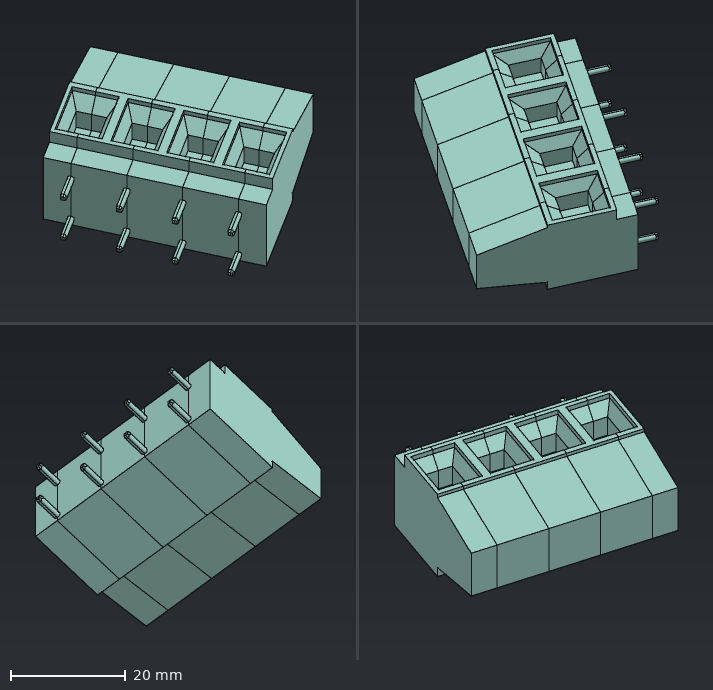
import cadquery as cq

pole_count = 4
pitch = 10.15
block_width = pole_count * pitch
pole_centers = [(pole + 0.5) * pitch for pole in range(pole_count)]

block_depth = 29.3
block_height = 18.3
ledge_depth = 3.9
ledge_height = 15.6
shoulder_y = 16.4
shoulder_top_z = 17.6
shoulder_bottom_z = 2.05
back_top_z = 14.2
back_bottom_z = 4.65

mouth_width = 8.55
mouth_front_y = 4.8
mouth_back_y = 15.35
mouth_depth = 0.98
well_width = 5.55
well_front_y = 6.85
well_back_y = 12.8
taper_depth = 2.25
well_depth = 4.05

pin_length = 5.0
pin_width = 1.18
pin_corner_radius = 0.4
tip_length = 0.53
tip_inset = 0.2
lower_pin_z = 1.6
pin_spacing = pitch
pins_per_pole = 2


def make_block():
    """Plain block without funnels: the side profile drawn across the full width."""
    profile = [
        (0, 0),
        (shoulder_y, 0),
        (shoulder_y, shoulder_bottom_z),
        (block_depth, back_bottom_z),
        (block_depth, back_top_z),
        (shoulder_y, shoulder_top_z),
        (shoulder_y, block_height),
        (ledge_depth, block_height),
        (ledge_depth, ledge_height),
        (0, ledge_height),
    ]
    return cq.Workplane("YZ").polyline(profile).close().extrude(block_width)


def rectangle_wire(center_x, width, front_y, back_y, z):
    """Level rectangle at height z, centred on center_x."""
    center_y = (front_y + back_y) / 2
    depth = back_y - front_y
    return cq.Workplane("XY", origin=(center_x, center_y, z)).rect(width, depth).val()


def make_funnel(center_x):
    """Straight mouth, tapered middle and straight well of one pole, as a cutting solid."""
    taper_top_z = block_height - mouth_depth
    taper_bottom_z = taper_top_z - taper_depth
    floor_z = taper_bottom_z - well_depth

    def mouth(z):
        return rectangle_wire(center_x, mouth_width, mouth_front_y, mouth_back_y, z)

    def well(z):
        return rectangle_wire(center_x, well_width, well_front_y, well_back_y, z)

    upper = cq.Solid.makeLoft([mouth(taper_top_z), mouth(block_height)], True)
    taper = cq.Solid.makeLoft([well(taper_bottom_z), mouth(taper_top_z)], True)
    lower = cq.Solid.makeLoft([well(floor_z), well(taper_bottom_z)], True)
    return cq.Workplane(upper.fuse(taper, lower))


def make_pin(center_x, center_z):
    """Square pin with rounded edges standing out from the pin face, with a four-sided tapered tip."""
    bar = cq.Workplane("XZ", origin=(center_x, 0, center_z)).rect(pin_width, pin_width).extrude(pin_length)
    pointed_bar = bar.faces("<Y").chamfer(tip_length, tip_inset)
    rounded_bar = bar.edges("|Y").fillet(pin_corner_radius)
    return pointed_bar.intersect(rounded_bar)


def make_terminal_row():
    """The complete row of poles before it is divided into slices."""
    row = make_block()
    for center_x in pole_centers:
        row = row.cut(make_funnel(center_x))
        for level in range(pins_per_pole):
            row = row.union(make_pin(center_x, lower_pin_z + level * pin_spacing))
    return row


def make_slice(row, start_x, end_x):
    """The part of the row between two planes across X."""
    width = end_x - start_x
    envelope_depth = 2 * (block_depth + pin_length)
    envelope_height = 2 * block_height
    envelope = cq.Workplane("XY", origin=(start_x + width / 2, 0, 0)).box(
        width, envelope_depth, envelope_height
    )
    return row.intersect(envelope)


terminal_row = make_terminal_row()
joints = [0] + pole_centers + [block_width]
slices = [make_slice(terminal_row, start, end) for start, end in zip(joints, joints[1:])]

result = cq.Compound.makeCompound([body.val() for body in slices])